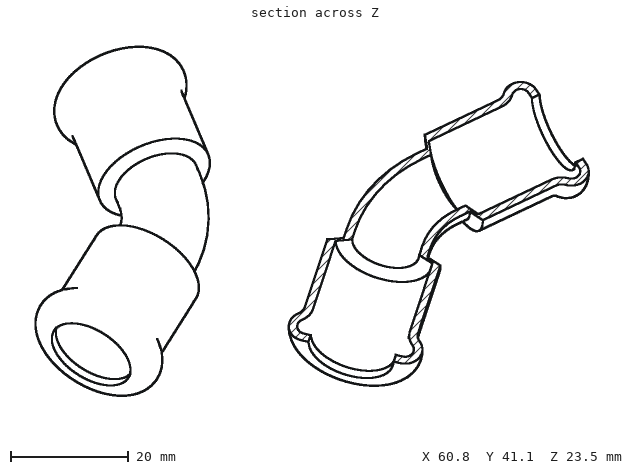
import cadquery as cq
import math

bend_angle = 45.0
bend_radius = 18.0
bend_start = 24.0

pipe_radius = 7.4
socket_radius = 10.0
face_radius = 8.75
bead_round = 3.0
neck_round = 2.0
socket_start = 6.75
socket_end = 21.0
socket_back = 22.05

wall = 1.5
mouth_radius = 7.5
bore_radius = pipe_radius - wall
socket_bore_radius = socket_radius - wall

bead_center = (bead_round, face_radius)
neck_center = (socket_start, socket_radius + neck_round)

bead_start_angle = 180.0
bead_end_angle = 45.0
bead_mid_angle = (bead_start_angle + bead_end_angle) / 2
neck_start_angle = bead_end_angle + 180.0
neck_end_angle = 270.0
neck_mid_angle = (neck_start_angle + neck_end_angle) / 2


def point_on_arc(center, radius, angle):
    """Point (along axis, away from axis) on a circular arc of the profile."""
    turn = math.radians(angle)
    return (center[0] + radius * math.cos(turn), center[1] + radius * math.sin(turn))


def revolve_about_x(profile):
    return profile.close().revolve(360, (0, 0, 0), (1, 0, 0))


def socket_body():
    return revolve_about_x(
        cq.Workplane("XY")
        .lineTo(0, face_radius)
        .threePointArc(point_on_arc(bead_center, bead_round, bead_mid_angle),
                       point_on_arc(bead_center, bead_round, bead_end_angle))
        .lineTo(*point_on_arc(neck_center, neck_round, neck_start_angle))
        .threePointArc(point_on_arc(neck_center, neck_round, neck_mid_angle),
                       (socket_start, socket_radius))
        .lineTo(socket_end, socket_radius)
        .lineTo(socket_back, pipe_radius)
        .lineTo(bend_start, pipe_radius)
        .lineTo(bend_start, 0)
    )


def socket_cavity():
    groove_round = bead_round - wall
    inner_neck_round = neck_round + wall
    return revolve_about_x(
        cq.Workplane("XY")
        .lineTo(0, mouth_radius)
        .lineTo(wall, mouth_radius)
        .lineTo(wall, face_radius)
        .threePointArc(point_on_arc(bead_center, groove_round, bead_mid_angle),
                       point_on_arc(bead_center, groove_round, bead_end_angle))
        .lineTo(*point_on_arc(neck_center, inner_neck_round, neck_start_angle))
        .threePointArc(point_on_arc(neck_center, inner_neck_round, neck_mid_angle),
                       (socket_start, socket_bore_radius))
        .lineTo(socket_end, socket_bore_radius)
        .lineTo(socket_back, bore_radius)
        .lineTo(bend_start, bore_radius)
        .lineTo(bend_start, 0)
    )


def bend(radius):
    """Solid pipe bend turning from +X toward -Y."""
    return (
        cq.Workplane("YZ", origin=(bend_start, 0, 0))
        .circle(radius)
        .revolve(bend_angle, (-bend_radius, 0.6, 0), (-bend_radius, 0, 0))
    )


def at_far_end(shape):
    """Carry a socket shape to the other end of the bend, mouth outward."""
    bend_center = (bend_start, -bend_radius, 0)
    return (
        shape.mirror("YZ", (bend_start, 0, 0))
        .rotate(bend_center, (bend_start, -bend_radius, 1), -bend_angle)
    )


body = socket_body()
cavity = socket_cavity()
outside = body.union(bend(pipe_radius)).union(at_far_end(body))
inside = cavity.union(bend(bore_radius)).union(at_far_end(cavity))
result = outside.cut(inside)